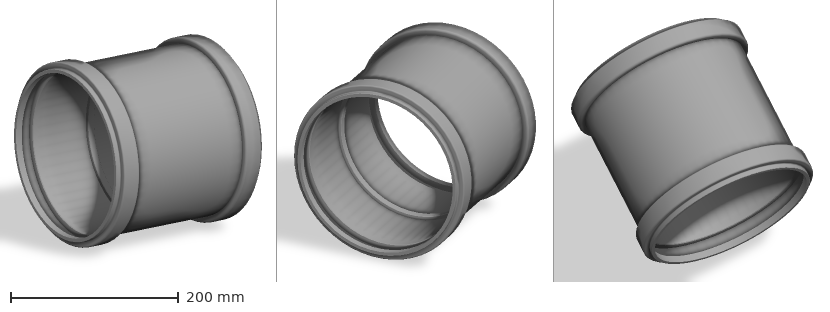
import cadquery as cq
import math

length = 214.0
half_length = length / 2

barrel_radius = 209.3 / 2
lip_radius = 209.8 / 2
ring_radius = 225.0 / 2

bore_radius = 200.5 / 2
mouth_radius = 200.8 / 2
groove_radius = 216.3 / 2
stop_radius = 190.7 / 2

lip_length = 6.3
ring_width = 23.0
groove_start = 8.5
groove_width = 16.2
stop_width = 9.0

ring_outer_fillet = 1.8
ring_inner_fillet = 2.7
lip_chamfer = 0.5
lip_root_fillet = 1.0
bore_chamfer = 1.0
stop_chamfer = 0.7

ring_outer_y = half_length - lip_length
ring_inner_y = ring_outer_y - ring_width
groove_outer_y = half_length - groove_start
groove_inner_y = groove_outer_y - groove_width


def arc_middle(center_x, center_y, radius, degrees):
    """Point on a rounded edge halfway along its quarter circle."""
    angle = math.radians(degrees)
    return (center_x + radius * math.cos(angle), center_y + radius * math.sin(angle))


def revolve_about_axis(profile):
    """Turn a closed XY profile around the pipe axis."""
    return profile.revolve(360, (0, 0, 0), (0, 1, 0))


def cylinder(radius, height):
    """Cylinder along Y, centred on the origin."""
    return cq.Workplane("XZ").circle(radius).extrude(height / 2, both=True)


def end_collar():
    """Raised ring and end lip at the +Y end, solid to the axis."""
    inner_fillet_x = ring_radius - ring_inner_fillet
    inner_fillet_y = ring_inner_y + ring_inner_fillet
    outer_fillet_x = ring_radius - ring_outer_fillet
    outer_fillet_y = ring_outer_y - ring_outer_fillet
    root_x = lip_radius + lip_root_fillet
    root_y = ring_outer_y + lip_root_fillet
    profile = (
        cq.Workplane("XY")
        .moveTo(0, ring_inner_y)
        .lineTo(inner_fillet_x, ring_inner_y)
        .threePointArc(
            arc_middle(inner_fillet_x, inner_fillet_y, ring_inner_fillet, -45),
            (ring_radius, inner_fillet_y),
        )
        .lineTo(ring_radius, outer_fillet_y)
        .threePointArc(
            arc_middle(outer_fillet_x, outer_fillet_y, ring_outer_fillet, 45),
            (outer_fillet_x, ring_outer_y),
        )
        .lineTo(root_x, ring_outer_y)
        .threePointArc(
            arc_middle(root_x, root_y, lip_root_fillet, 225), (lip_radius, root_y)
        )
        .lineTo(lip_radius, half_length - lip_chamfer)
        .lineTo(lip_radius - lip_chamfer, half_length)
        .lineTo(0, half_length)
        .close()
    )
    return revolve_about_axis(profile)


def end_cavity():
    """Mouth opening and seal groove at the +Y end, with a chamfer into the bore."""
    profile = (
        cq.Workplane("XY")
        .moveTo(0, half_length)
        .lineTo(mouth_radius, half_length)
        .lineTo(mouth_radius, groove_outer_y)
        .lineTo(groove_radius, groove_outer_y)
        .lineTo(groove_radius, groove_inner_y)
        .lineTo(bore_radius + bore_chamfer, groove_inner_y)
        .lineTo(bore_radius, groove_inner_y - bore_chamfer)
        .lineTo(0, groove_inner_y - bore_chamfer)
        .close()
    )
    return revolve_about_axis(profile)


def stop_rib():
    """Inward rib at mid-length that limits how far the pipes slide in."""
    blank = cylinder(barrel_radius, stop_width)
    rib = blank.cut(cylinder(stop_radius, stop_width))
    inner_rims = cq.selectors.RadiusNthSelector(0)
    return rib.edges(inner_rims).chamfer(stop_chamfer)


collar = end_collar()
cavity = end_cavity()

bore_core = cylinder(bore_radius, length).cut(stop_rib())

result = (
    cylinder(barrel_radius, length - 2 * lip_chamfer)
    .union(collar)
    .union(collar.mirror("XZ"))
    .cut(bore_core)
    .cut(cavity)
    .cut(cavity.mirror("XZ"))
)